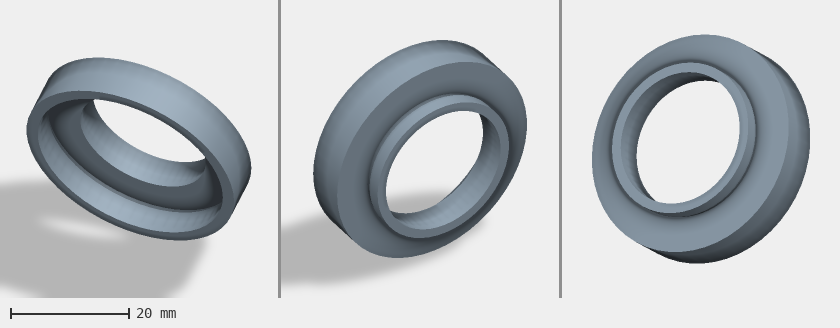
import cadquery as cq

outer_diameter = 38.1
recess_diameter = 34.0
bore_diameter = 23.0
spigot_diameter = 26.35
neck_diameter = 25.85

total_length = 11.0
neck_length = 1.0
spigot_length = 2.5
body_length = total_length - neck_length - spigot_length
recess_depth = 5.5

undercut_diameter = 35.0
undercut_width = 1.0


def disc(diameter, start, length):
    """Solid cylinder on the Y axis, running from start toward +Y."""
    plane = cq.Plane(origin=(0, start, 0), xDir=(1, 0, 0), normal=(0, 1, 0))
    return cq.Workplane(plane).circle(diameter / 2).extrude(length)


neck_start = body_length
spigot_start = neck_start + neck_length
ring = disc(outer_diameter, 0, body_length)
ring = ring.union(disc(neck_diameter, neck_start, neck_length))
ring = ring.union(disc(spigot_diameter, spigot_start, spigot_length))

ring = ring.cut(disc(bore_diameter, 0, total_length))
ring = ring.cut(disc(recess_diameter, 0, recess_depth))
ring = ring.cut(disc(undercut_diameter, recess_depth - undercut_width, undercut_width))

result = ring